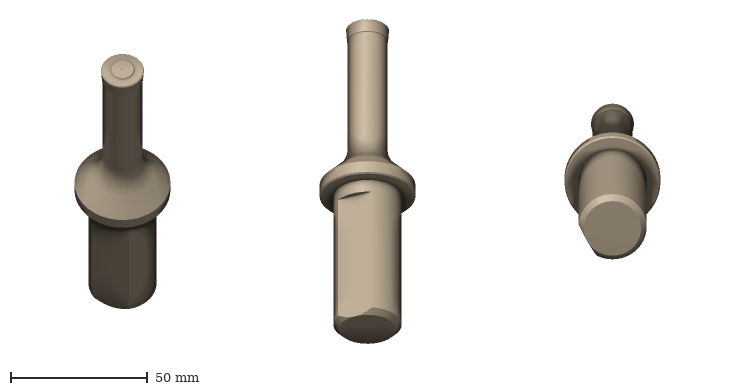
import cadquery as cq
import math

total_height = 127.5

shank_radius = 25.0 / 2
shank_chamfer = 2.0
flat_depth = 2.0
flat_top_z = 51.0

flange_radius = 35.0 / 2
flange_bottom_z = 56.0
flange_top_z = 61.0
flange_chamfer = 0.5
neck_radius = 14.5 / 2
blend_radius = 13.0
cone_angle = math.radians(45)

tip_bottom_z = 121.8
tip_bottom_radius = 15.0 / 2
tip_top_radius = 15.7 / 2
tip_bottom_chamfer = 0.3
tip_top_chamfer = 0.4
boss_height = 0.5
boss_base_radius = 9.0 / 2
boss_top_radius = 8.2 / 2
dimple_diameter = 1.3
dimple_depth = 0.1


def make_holder():
    """Shank, flange and neck turned as one profile, with a flat cut on the -Y side."""
    cone_top_radius = neck_radius + blend_radius * (1 - math.cos(cone_angle))
    cone_top_z = flange_top_z + (flange_radius - cone_top_radius) / math.tan(cone_angle)
    blend_top_z = cone_top_z + blend_radius * math.sin(cone_angle)
    blend_mid_radius = neck_radius + blend_radius * (1 - math.cos(cone_angle / 2))
    blend_mid_z = blend_top_z - blend_radius * math.sin(cone_angle / 2)

    body = (
        cq.Workplane("XZ")
        .moveTo(0, 0)
        .lineTo(shank_radius - shank_chamfer, 0)
        .lineTo(shank_radius, shank_chamfer)
        .lineTo(shank_radius, flange_bottom_z)
        .lineTo(flange_radius - flange_chamfer, flange_bottom_z)
        .lineTo(flange_radius, flange_bottom_z + flange_chamfer)
        .lineTo(flange_radius, flange_top_z)
        .lineTo(cone_top_radius, cone_top_z)
        .threePointArc((blend_mid_radius, blend_mid_z), (neck_radius, blend_top_z))
        .lineTo(neck_radius, tip_bottom_z)
        .lineTo(0, tip_bottom_z)
        .close()
        .revolve(360, (0, 0, 0), (0, 1, 0))
    )
    flat_cutter = (
        cq.Workplane("XY")
        .box(2 * shank_radius, shank_radius, flat_top_z, centered=(True, False, False))
        .translate((0, flat_depth - 2 * shank_radius, 0))
    )
    return body.cut(flat_cutter)


def make_tip():
    """Tapered disc with chamfered rims, a low conical boss and a shallow central dimple."""
    rim_z = total_height - boss_height
    disc = (
        cq.Workplane("XZ")
        .moveTo(0, tip_bottom_z)
        .lineTo(tip_bottom_radius - tip_bottom_chamfer, tip_bottom_z)
        .lineTo(tip_bottom_radius, tip_bottom_z + tip_bottom_chamfer)
        .lineTo(tip_top_radius, rim_z - tip_top_chamfer)
        .lineTo(tip_top_radius - tip_top_chamfer, rim_z)
        .lineTo(boss_base_radius, rim_z)
        .lineTo(boss_top_radius, total_height)
        .lineTo(0, total_height)
        .close()
        .revolve(360, (0, 0, 0), (0, 1, 0))
    )
    return disc.faces(">Z").workplane().hole(dimple_diameter, dimple_depth)


holder = make_holder()
tip = make_tip()

result = cq.Compound.makeCompound([holder.val(), tip.val()])